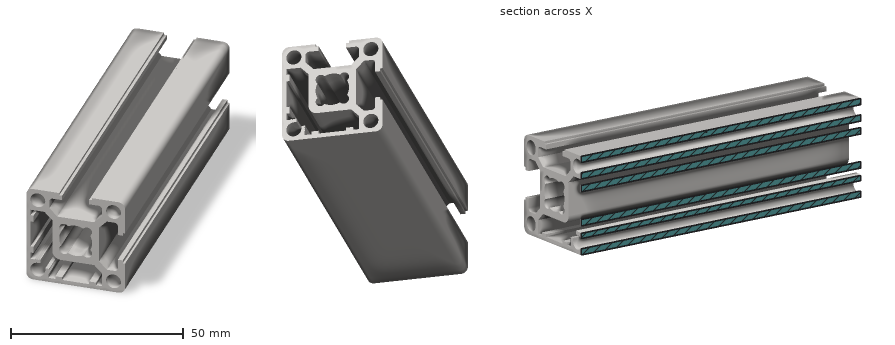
import cadquery as cq

SIZE = 30.0
LENGTH = 100.0
HALF = SIZE / 2
OUTER_RADIUS = 2.0

WALL = 1.3
CORE_HALF = 7.1
CORE_RADIUS = 2.5
CELL_EDGE = 8.0
WEB_CHAMFER = 2.4
WALL_FACE = HALF - WALL

MOUTH_HALF = 5.0
THROAT_HALF = 4.1
MOUTH_DEPTH = 0.7
LIP_DEPTH = 2.2
SLOT_RADIUS = 1.0

BORE_DIAMETER = 4.5
BORE_OFFSET = 11.5
CAVITY_RADIUS = 5.0
LOBE_RADIUS = 1.5
LOBE_OFFSET = CAVITY_RADIUS - LOBE_RADIUS

RIB_WIDTH = 2.1
RIB_HEIGHT = 0.9

FINGER_OUTER = 8.1
FINGER_TIP = 10.7
TOOTH_COUNT = 3
TOOTH_PITCH = 0.6
TOOTH_HEIGHT = 0.2
FINGER_BACK = FINGER_OUTER + TOOTH_HEIGHT
FINGER_INNER = BORE_OFFSET - BORE_DIAMETER / 2


def sketch():
    """Start a profile plane at the front end; local axes are X and Z."""
    return cq.Workplane("XZ", origin=(0, LENGTH / 2, 0))


def prism(points):
    return sketch().polyline(points).close().extrude(LENGTH)


def block(x_start, x_end, z_start, z_end):
    return prism([(x_start, z_start), (x_end, z_start), (x_end, z_end), (x_start, z_end)])


def rods(centers, radius):
    return sketch().pushPoints(centers).circle(radius).extrude(LENGTH)


def mirror_diagonal(points):
    """Reflect profile points across the line X = Z."""
    return [(z, x) for x, z in points]


def slot_points():
    """Outline of the T-slot in the top face."""
    lip_inner = HALF - LIP_DEPTH
    right_side = [
        (CELL_EDGE - WEB_CHAMFER, CORE_HALF),
        (CELL_EDGE, CORE_HALF + WEB_CHAMFER),
        (CELL_EDGE, lip_inner),
        (THROAT_HALF, lip_inner),
        (THROAT_HALF, HALF - MOUTH_DEPTH),
        (MOUTH_HALF, HALF - MOUTH_DEPTH),
        (MOUTH_HALF, HALF),
    ]
    left_side = [(-x, z) for x, z in reversed(right_side)]
    return right_side + left_side


def round_edge(solid, x, z, radius):
    """Fillet the lengthwise edge at profile position (x, z)."""
    return solid.edges(cq.selectors.NearestToPointSelector((x, 0, z))).fillet(radius)


def t_slot(points):
    """T-slot void, rounded behind the lips."""
    shoulder = HALF - LIP_DEPTH
    void = prism(points)
    for x, z in points:
        if sorted((abs(x), abs(z))) == [CELL_EDGE, shoulder]:
            void = round_edge(void, x, z, SLOT_RADIUS)
    return void


def chamber():
    """L-shaped void along the two closed faces, with its ribs left solid."""
    web_end = CORE_HALF + WEB_CHAMFER
    web_start = CELL_EDGE - WEB_CHAMFER
    void = prism([
        (-WALL_FACE, CELL_EDGE),
        (-web_end, CELL_EDGE),
        (-CORE_HALF, web_start),
        (-CORE_HALF, -CORE_HALF),
        (web_start, -CORE_HALF),
        (CELL_EDGE, -web_end),
        (CELL_EDGE, -WALL_FACE),
        (-WALL_FACE, -WALL_FACE),
    ])
    void = round_edge(void, -CORE_HALF, -CORE_HALF, CORE_RADIUS)
    for start in (THROAT_HALF, -THROAT_HALF - RIB_WIDTH):
        end = start + RIB_WIDTH
        rib_face = -WALL_FACE + RIB_HEIGHT
        void = void.cut(block(-WALL_FACE, rib_face, start, end))
        void = void.cut(block(start, end, -WALL_FACE, rib_face))
    return void


def finger_points():
    """Upper finger, from the wall to its tip, with small teeth on its back."""
    points = [(-HALF + WALL / 2, -FINGER_BACK)]
    teeth_start = -FINGER_TIP - TOOTH_COUNT * TOOTH_PITCH
    for index in range(TOOTH_COUNT):
        tooth_start = teeth_start + index * TOOTH_PITCH
        points.append((tooth_start, -FINGER_BACK))
        points.append((tooth_start + TOOTH_PITCH / 2, -FINGER_OUTER))
    points += [
        (-FINGER_TIP, -FINGER_OUTER),
        (-FINGER_TIP, -FINGER_INNER),
        (-BORE_OFFSET, -FINGER_INNER),
        (-BORE_OFFSET, -BORE_OFFSET),
        (-HALF + WALL / 2, -BORE_OFFSET),
    ]
    return points


body = sketch().rect(SIZE, SIZE).extrude(LENGTH).edges("|Y").fillet(OUTER_RADIUS)

for points in (slot_points(), mirror_diagonal(slot_points())):
    body = body.cut(t_slot(points))

body = body.cut(chamber())
for points in (finger_points(), mirror_diagonal(finger_points())):
    body = body.union(prism(points))

body = body.union(block(-WALL_FACE, -BORE_OFFSET, -WALL_FACE, -BORE_OFFSET))

bore_centers = [(x, z) for x in (-BORE_OFFSET, BORE_OFFSET) for z in (-BORE_OFFSET, BORE_OFFSET)]
body = body.cut(rods(bore_centers, BORE_DIAMETER / 2))

lobe_centers = [(x, z) for x in (-LOBE_OFFSET, LOBE_OFFSET) for z in (-LOBE_OFFSET, LOBE_OFFSET)]
body = body.cut(rods([(0, 0)], CAVITY_RADIUS))
result = body.cut(rods(lobe_centers, LOBE_RADIUS))